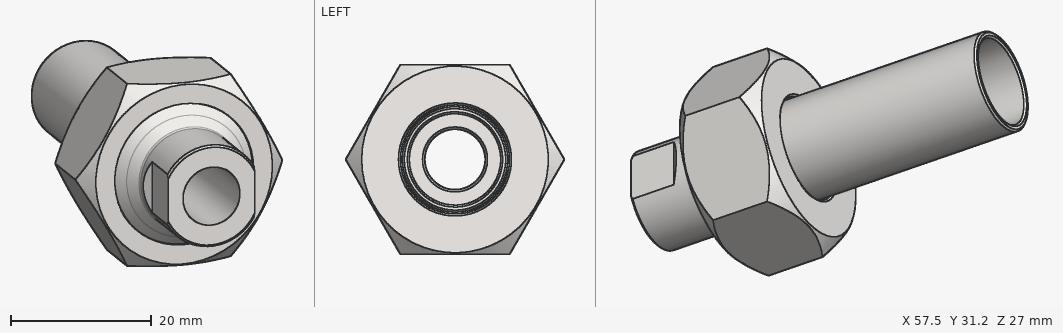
import cadquery as cq
import math

LENGTH = 57.5
OUTER_RADIUS = 15.0 / 2
EDGE_CHAMFER = 0.3

NUT_START = 31.95
NUT_LENGTH = 13.5
NUT_END = NUT_START + NUT_LENGTH
ACROSS_CORNERS = 31.15
NUT_FACE_RADIUS = 26.55 / 2
NUT_BORE_RADIUS = 15.5 / 2
NUT_MOUTH_CHAMFER = 0.3
NUT_LIP = 2.9
SOCKET_RADIUS = 20.9 / 2

PIPE_BORE_RADIUS = 13.0 / 2
COLLAR_LENGTH = 2.9
COLLAR_START = NUT_START + NUT_LIP
JOINT_X = COLLAR_START + COLLAR_LENGTH

TAIL_BORE_RADIUS = 8.55 / 2
TAIL_BORE_CHAMFER = 0.35
CONE_MID_X = 46.4
CONE_MID_RADIUS = 18.0 / 2
CONE_START = CONE_MID_X - (SOCKET_RADIUS - CONE_MID_RADIUS)
CONE_END = 48.0
CONE_FILLET = 0.6
FLAT_START = 50.4
FLAT_WIDTH = 13.0


def revolve_profile(points):
    """Turn an (axial, radial) outline around the X axis."""
    return cq.Workplane("XY").polyline(points).close().revolve(360, (0, 0, 0), (1, 0, 0))


def make_nut():
    prism = (
        cq.Workplane("YZ", origin=(NUT_START, 0, 0))
        .polygon(6, ACROSS_CORNERS)
        .extrude(NUT_LENGTH)
    )
    chamfer = ACROSS_CORNERS / 2 - NUT_FACE_RADIUS
    barrel = revolve_profile([
        (NUT_START, 0),
        (NUT_START, NUT_FACE_RADIUS),
        (NUT_START + chamfer, ACROSS_CORNERS / 2),
        (NUT_END - chamfer, ACROSS_CORNERS / 2),
        (NUT_END, NUT_FACE_RADIUS),
        (NUT_END, 0),
    ])
    bore = revolve_profile([
        (NUT_START, 0),
        (NUT_START, NUT_BORE_RADIUS + NUT_MOUTH_CHAMFER),
        (NUT_START + NUT_MOUTH_CHAMFER, NUT_BORE_RADIUS),
        (COLLAR_START, NUT_BORE_RADIUS),
        (COLLAR_START, SOCKET_RADIUS),
        (NUT_END, SOCKET_RADIUS),
        (NUT_END, 0),
    ])
    return prism.intersect(barrel).cut(bore)


def make_pipe():
    return revolve_profile([
        (0, PIPE_BORE_RADIUS + EDGE_CHAMFER),
        (0, OUTER_RADIUS - EDGE_CHAMFER),
        (EDGE_CHAMFER, OUTER_RADIUS),
        (COLLAR_START, OUTER_RADIUS),
        (COLLAR_START, SOCKET_RADIUS),
        (JOINT_X, SOCKET_RADIUS),
        (JOINT_X, PIPE_BORE_RADIUS),
        (EDGE_CHAMFER, PIPE_BORE_RADIUS),
    ])


def make_flat_cutter():
    """Wedge above the +Y wrench flat, with a 45 degree run-out."""
    depth = OUTER_RADIUS - FLAT_WIDTH / 2
    return (
        cq.Workplane("XY")
        .polyline([
            (FLAT_START, FLAT_WIDTH / 2),
            (FLAT_START - depth, OUTER_RADIUS),
            (LENGTH, OUTER_RADIUS),
            (LENGTH, FLAT_WIDTH / 2),
        ])
        .close()
        .extrude(OUTER_RADIUS, both=True)
    )


def make_tailpiece():
    cone_angle = math.atan2(CONE_MID_RADIUS - OUTER_RADIUS, CONE_END - CONE_MID_X)
    half_turn = cone_angle / 2
    tangent = CONE_FILLET * math.tan(half_turn)
    fillet_start = (
        CONE_END - tangent * math.cos(cone_angle),
        OUTER_RADIUS + tangent * math.sin(cone_angle),
    )
    fillet_end_x = CONE_END + tangent
    fillet_middle = (
        fillet_end_x - CONE_FILLET * math.sin(half_turn),
        OUTER_RADIUS + CONE_FILLET * (1 - math.cos(half_turn)),
    )
    tail = (
        cq.Workplane("XY")
        .moveTo(JOINT_X, TAIL_BORE_RADIUS + TAIL_BORE_CHAMFER)
        .lineTo(JOINT_X, SOCKET_RADIUS)
        .lineTo(CONE_START, SOCKET_RADIUS)
        .lineTo(CONE_MID_X, CONE_MID_RADIUS)
        .lineTo(*fillet_start)
        .threePointArc(fillet_middle, (fillet_end_x, OUTER_RADIUS))
        .lineTo(LENGTH - EDGE_CHAMFER, OUTER_RADIUS)
        .lineTo(LENGTH, OUTER_RADIUS - EDGE_CHAMFER)
        .lineTo(LENGTH, TAIL_BORE_RADIUS)
        .lineTo(JOINT_X + TAIL_BORE_CHAMFER, TAIL_BORE_RADIUS)
        .close()
        .revolve(360, (0, 0, 0), (1, 0, 0))
    )
    flat_cutter = make_flat_cutter()
    return tail.cut(flat_cutter).cut(flat_cutter.mirror("XZ"))


nut = make_nut()
pipe = make_pipe()
tailpiece = make_tailpiece()

result = cq.Compound.makeCompound([nut.val(), pipe.val(), tailpiece.val()])